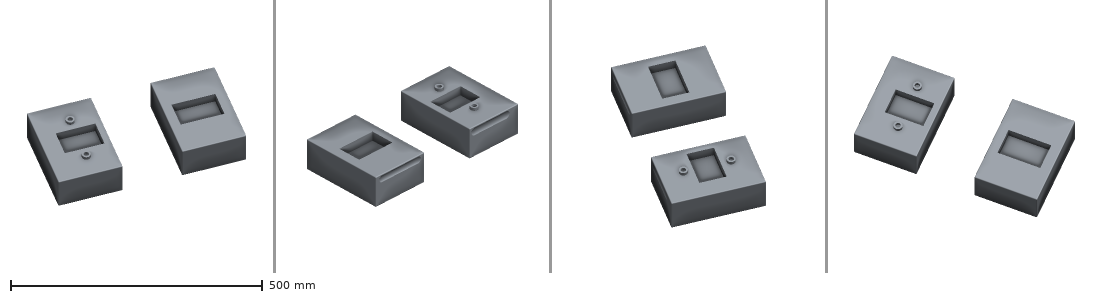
import cadquery as cq
import math

total_length = 395.0
block_width = 198.0
block_depth = 135.0
block_height = 70.5
edge_radius = 2.0
block_center_y = (total_length - block_depth) / 2

pocket_width = 57.0
pocket_depth = 21.5
rear_pocket_length = 92.0
rear_pocket_shift = -0.8
front_pocket_length = 83.5
front_pocket_shift = 11.5

groove_depth = 2.8
rear_groove_height = 15.5
rear_groove_span = 100.0
rear_groove_drop = 10.5
rear_groove_shift = 0.0
front_groove_height = 17.5
front_groove_span = 88.0
front_groove_drop = 12.0
front_groove_shift = 10.0

stud_diameter = 18.0
stud_bore_diameter = 10.5
stud_height = 6.7
stud_spacing = 100.0
stud_shift = 7.5


def make_block(center_y):
    """Block with rounded edges, standing on Z = 0."""
    block = cq.Workplane("XY").box(block_width, block_depth, block_height, centered=(True, True, False))
    return block.edges().fillet(edge_radius).translate((0, center_y, 0))


def cut_pocket(body, length, center_y):
    """Sink a rectangular pocket into the top face."""
    pocket = (
        cq.Workplane("XY", origin=(0, center_y, block_height))
        .rect(pocket_width, length)
        .extrude(-pocket_depth)
    )
    return body.cut(pocket)


def cut_groove(body, height, span, drop, center_y):
    """Cut a round-ended groove, running along Y, into the -X face."""
    radius = ((height / 2) ** 2 + groove_depth**2) / (2 * groove_depth)
    axis_x = -block_width / 2 + groove_depth - radius
    axis_z = block_height - drop
    half_span = span / 2
    half_length = half_span + radius
    ball_reach = radius * math.sqrt(0.5)
    rod = (
        cq.Workplane("XY", origin=(axis_x, center_y, axis_z))
        .moveTo(0, -half_length)
        .threePointArc((ball_reach, -half_span - ball_reach), (radius, -half_span))
        .lineTo(radius, half_span)
        .threePointArc((ball_reach, half_span + ball_reach), (0, half_length))
        .close()
        .revolve(360, (0, 0, 0), (0, 1, 0))
    )
    return body.cut(rod)


def add_studs(body, center_y):
    """Stand two hollow studs on the top face, one on each side of the pocket."""
    studs = (
        cq.Workplane("XY", origin=(0, center_y, block_height))
        .rarray(stud_spacing, 4, 2, 1)
        .circle(stud_diameter / 2)
        .circle(stud_bore_diameter / 2)
        .extrude(stud_height)
    )
    return body.union(studs)


def make_rear_block():
    """Plain-topped block on the +Y side."""
    center_y = block_center_y
    body = make_block(center_y)
    body = cut_pocket(body, rear_pocket_length, center_y + rear_pocket_shift)
    return cut_groove(
        body, rear_groove_height, rear_groove_span, rear_groove_drop, center_y + rear_groove_shift
    )


def make_front_block():
    """Studded block on the -Y side."""
    center_y = -block_center_y
    body = make_block(center_y)
    body = cut_pocket(body, front_pocket_length, center_y + front_pocket_shift)
    body = cut_groove(
        body, front_groove_height, front_groove_span, front_groove_drop, center_y + front_groove_shift
    )
    return add_studs(body, center_y + stud_shift)


rear_block = make_rear_block()
front_block = make_front_block()

result = cq.Compound.makeCompound([rear_block.val(), front_block.val()])